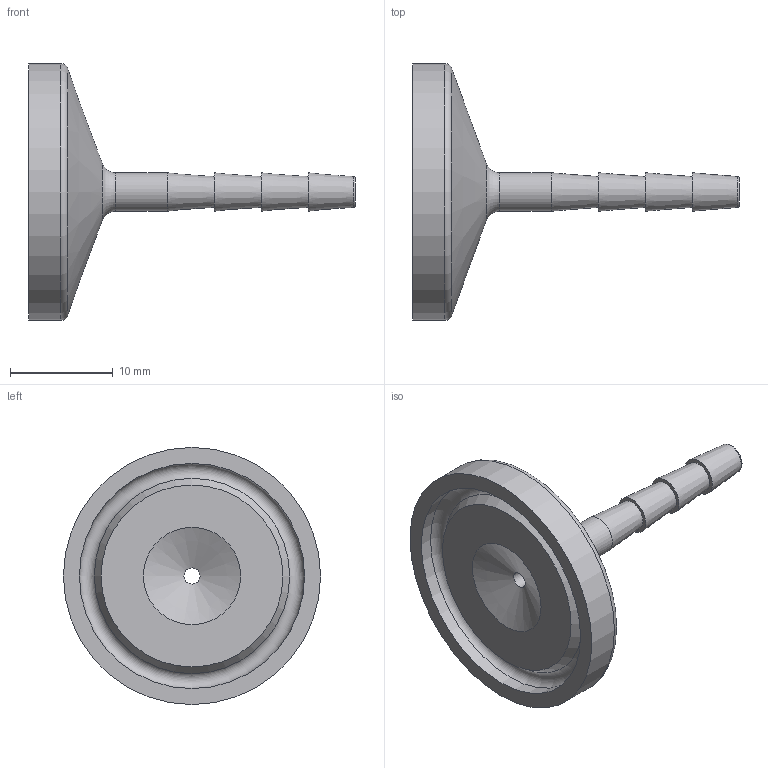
import cadquery as cq
import math

length = 31.75
bore_radius = 1.57 / 2

flange_radius = 24.99 / 2
rim_width = 3.11
shoulder_radius = 0.72
back_angle = math.radians(70)

stem_radius = 3.73 / 2
stem_fillet = 1.4

barb_count = 4
barb_pitch = 4.572
barb_tip_radius = 1.5
tip_round = 0.2

groove_outer_radius = 21.89 / 2
groove_wall_depth = 1.27
groove_round = 0.8
land_recess = 0.8
land_wall_angle = math.radians(35)
inlet_radius = 4.72
inlet_depth = 1.75


def point_on_circle(centre, radius, angle):
    """Point at an angle measured from +X towards the outward radial direction."""
    return (centre[0] + radius * math.cos(angle), centre[1] + radius * math.sin(angle))


def add_back(profile):
    """Rim, shoulder arc, conical back and the fillet that runs into the stem."""
    normal = math.pi / 2 - back_angle
    shoulder_centre = (rim_width, flange_radius - shoulder_radius)
    shoulder_end = point_on_circle(shoulder_centre, shoulder_radius, normal)
    shoulder_mid = point_on_circle(shoulder_centre, shoulder_radius, (normal + math.pi / 2) / 2)

    fillet_centre_radius = stem_radius + stem_fillet
    fillet_start_radius = fillet_centre_radius - stem_fillet * math.sin(normal)
    fillet_start_x = shoulder_end[0] + (shoulder_end[1] - fillet_start_radius) / math.tan(back_angle)
    fillet_centre = (fillet_start_x + stem_fillet * math.cos(normal), fillet_centre_radius)
    fillet_mid = point_on_circle(fillet_centre, stem_fillet, (normal + math.pi / 2) / 2 + math.pi)

    return (
        profile.lineTo(0, flange_radius)
        .lineTo(rim_width, flange_radius)
        .threePointArc(shoulder_mid, shoulder_end)
        .lineTo(fillet_start_x, fillet_start_radius)
        .threePointArc(fillet_mid, (fillet_centre[0], stem_radius))
    )


def add_barbs(profile):
    """Straight stem followed by the barbs, the last one rounded at its tip."""
    first_barb_x = length - barb_count * barb_pitch
    for index in range(barb_count):
        start_x = first_barb_x + index * barb_pitch
        profile = profile.lineTo(start_x, stem_radius)
        if index < barb_count - 1:
            profile = profile.lineTo(start_x + barb_pitch, barb_tip_radius)
    round_centre = (length - tip_round, barb_tip_radius - tip_round)
    round_mid = point_on_circle(round_centre, tip_round, math.pi / 4)
    return (
        profile.lineTo(round_centre[0], barb_tip_radius)
        .threePointArc(round_mid, (length, round_centre[1]))
    )


def add_front(profile):
    """Bore, conical inlet, recessed land and the groove around it."""
    groove_centre = (groove_wall_depth, groove_outer_radius - groove_round)
    arc_start_angle = land_wall_angle - math.pi / 2
    arc_start = point_on_circle(groove_centre, groove_round, arc_start_angle)
    arc_mid = point_on_circle(groove_centre, groove_round, (arc_start_angle + math.pi / 2) / 2)
    land_radius = arc_start[1] - (arc_start[0] - land_recess) * math.tan(land_wall_angle)

    return (
        profile.lineTo(length, bore_radius)
        .lineTo(land_recess + inlet_depth, bore_radius)
        .lineTo(land_recess, inlet_radius)
        .lineTo(land_recess, land_radius)
        .lineTo(*arc_start)
        .threePointArc(arc_mid, (groove_wall_depth, groove_outer_radius))
    )


section = cq.Workplane("XY").moveTo(0, groove_outer_radius)
section = add_back(section)
section = add_barbs(section)
section = add_front(section)
result = section.close().revolve(360, (0, 0, 0), (1, 0, 0))